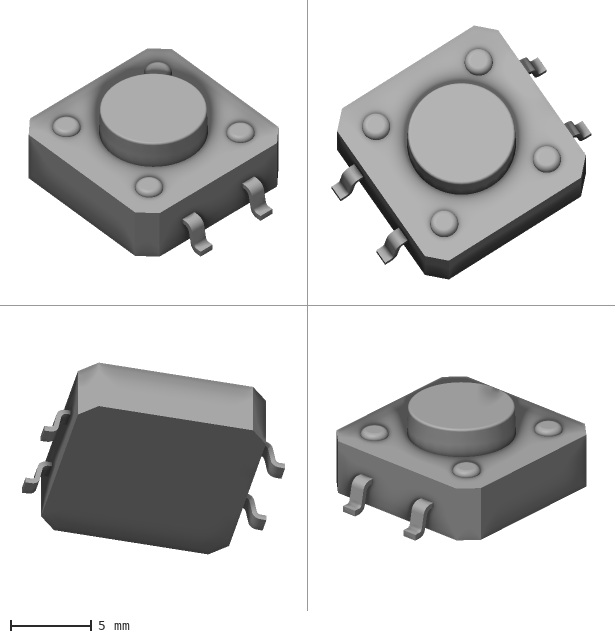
import cadquery as cq
import math

HOUSING_SIDE = 12.0
HOUSING_HEIGHT = 3.6
CORNER_CHAMFER = 1.08

BUTTON_BASE_DIAMETER = 6.78
BUTTON_TOP_DIAMETER = 6.67
BUTTON_HEIGHT = 1.88
BUTTON_RIM_RADIUS = 0.15

RIVET_DIAMETER = 1.75
RIVET_ROUND = 0.37
RIVET_SPACING = 7.65

LEAD_SPAN = 15.37
LEAD_WIDTH = 1.0
LEAD_PITCH = 5.01
LEAD_THICKNESS = 0.32
LEAD_TOP_Z = 1.97
LEG_TILT = 11.0
LEG_OFFSET = 1.0
FOOT_TOP_Z = 0.37
FOOT_HEEL_Z = 0.0
FOOT_TOE_Z = -0.03
SHOULDER_OUTER_RADIUS = 0.6
SHOULDER_INNER_RADIUS = 0.41
HEEL_OUTER_RADIUS = 0.54
HEEL_INNER_RADIUS = 0.25


def make_housing():
    block = cq.Workplane("XY").box(HOUSING_SIDE, HOUSING_SIDE, HOUSING_HEIGHT, centered=(True, True, False))
    return block.edges("|Z").chamfer(CORNER_CHAMFER)


def make_button():
    base_radius = BUTTON_BASE_DIAMETER / 2
    top_radius = BUTTON_TOP_DIAMETER / 2
    taper = math.degrees(math.atan((base_radius - top_radius) / BUTTON_HEIGHT))
    cap = (
        cq.Workplane("XY")
        .workplane(offset=HOUSING_HEIGHT)
        .circle(base_radius)
        .extrude(BUTTON_HEIGHT, taper=taper)
    )
    return cap.faces(">Z").edges().fillet(BUTTON_RIM_RADIUS)


def make_rivets():
    rim_radius = RIVET_DIAMETER / 2
    flat_radius = rim_radius - RIVET_ROUND
    top_z = HOUSING_HEIGHT + RIVET_ROUND
    head = (
        cq.Workplane("XZ")
        .moveTo(0, HOUSING_HEIGHT)
        .lineTo(rim_radius, HOUSING_HEIGHT)
        .radiusArc((flat_radius, top_z), -RIVET_ROUND)
        .lineTo(0, top_z)
        .close()
        .revolve(360, (0, 0, 0), (0, 1, 0))
    )
    centers = cq.Workplane("XY").rect(RIVET_SPACING, RIVET_SPACING, forConstruction=True).vertices()
    return centers.eachpoint(head.val())


def make_lead(y_center):
    """Lead on the +X side, bent down from the housing wall to a foot pointing outward."""
    wall_x = HOUSING_SIDE / 2
    toe_x = LEAD_SPAN / 2
    under_z = LEAD_TOP_Z - LEAD_THICKNESS
    mid_z = LEAD_TOP_Z / 2
    slope = math.tan(math.radians(LEG_TILT))
    leg_width = LEAD_THICKNESS / math.cos(math.radians(LEG_TILT))

    def leg_outer_x(z):
        return wall_x + LEG_OFFSET + slope * (mid_z - z)

    def leg_inner_x(z):
        return leg_outer_x(z) - leg_width

    shoulder_outer = (leg_outer_x(LEAD_TOP_Z), LEAD_TOP_Z)
    shoulder_inner = (leg_inner_x(under_z), under_z)
    heel_inner = (leg_outer_x(FOOT_TOP_Z), FOOT_TOP_Z)
    heel_outer = (leg_inner_x(FOOT_HEEL_Z), FOOT_HEEL_Z)

    outline = [
        (wall_x, LEAD_TOP_Z),
        shoulder_outer,
        heel_inner,
        (toe_x, FOOT_TOP_Z),
        (toe_x, FOOT_TOE_Z),
        heel_outer,
        shoulder_inner,
        (wall_x, under_z),
    ]
    y_back = y_center + LEAD_WIDTH / 2
    lead = cq.Workplane("XZ", origin=(0, y_back, 0)).polyline(outline).close().extrude(LEAD_WIDTH)

    bends = [
        (shoulder_outer, SHOULDER_OUTER_RADIUS),
        (shoulder_inner, SHOULDER_INNER_RADIUS),
        (heel_inner, HEEL_INNER_RADIUS),
        (heel_outer, HEEL_OUTER_RADIUS),
    ]
    for (x, z), radius in bends:
        corner = cq.selectors.NearestToPointSelector((x, y_center, z))
        lead = lead.edges(corner).fillet(radius)
    return lead


result = make_housing().union(make_button()).union(make_rivets())
for y_center in (-LEAD_PITCH / 2, LEAD_PITCH / 2):
    lead = make_lead(y_center)
    result = result.union(lead).union(lead.mirror("YZ"))